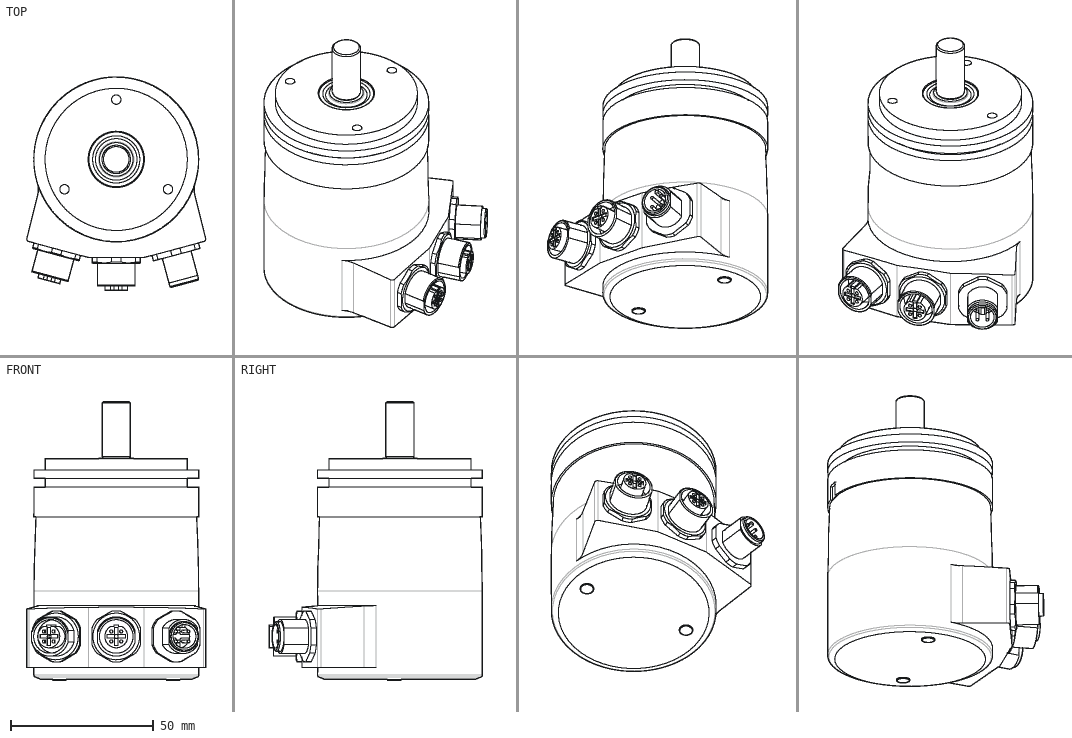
import cadquery as cq
import math

body_radius = 29.0
body_bottom = -77.6
foot_bottom = -78.0

shaft_radius = 5.0
shaft_top = 20.0
shaft_tip_chamfer = 0.5
shaft_root_radius = 4.7
shaft_root_top = 0.75
collar_top = 0.25
collar_top_radius = 5.9
collar_base_radius = 6.2
collar_base = -0.1
gutter_radius = 7.3
gutter_bottom = -0.8
seal_inner_radius = 8.3
seal_outer_radius = 9.6
seal_depth = 0.3
pilot_radius = 25.0
groove_top = -7.0
groove_bottom = -10.0
pilot_bottom = -4.0
joint_z = -20.5

screw_circle_radius = 21.0
screw_hole_diameter = 3.3
screw_hole_depth = 10.0
drill_point_angle = math.radians(118)
screw_angles = (90, 210, 330)

notch_angle = 97.0
notch_width = 5.0
notch_depth = 1.0
notch_top = -15.5

neck_top_radius = 28.3
neck_mid_radius = 28.8
neck_bottom = -46.5
base_cone_edge = -76.6
base_radius = 26.5
base_edge_fillet = 0.7

foot_diameter = 4.8
foot_chamfer = 0.2
foot_x = 20.0
foot_y = -2.0

face_tilt = math.radians(15)
middle_face_y = -34.5
middle_half_width = 9.8
side_face_width = 22.63
wall_tilt = math.radians(14)
corner_radius = 1.0
blend_radius = 8.0
block_bottom = -73.5
block_top_at_axis = -49.17
block_top_slope = math.radians(5)
block_reach = 50.0

connector_z = -62.5
nut_flats = 17.0
nut_diameter = 18.0
nut_height = 2.0
nut_chamfer_height = 0.4
nut_chamfer_inset = 0.8

female_diameter = 13.8
female_flats = 13.2
female_length = 10.0
female_bore_radius = 5.9
female_bore_chamfer = 0.35
female_bore_depth = 5.5
insert_radius = 4.0
insert_length = 11.5
insert_flat_height = 3.45
ridge_height = 4.05
ridge_width = 1.6
cross_width = 1.25
cross_length = 6.4
cross_depth = 0.5
contact_pitch = 3.5
contact_hole_diameter = 1.1
contact_hole_depth = 3.0
centre_hole_diameter = 1.4

male_diameter = 12.0
male_flats = 10.5
male_shank_length = 10.9
male_length = 12.6
male_tip_chamfer = 0.4
male_bore_radius = 4.15
male_bore_depth = 8.7
pin_diameter = 1.0
pin_setback = 1.1
floor_rib_height = 0.3
floor_hub_radius = 1.2
key_width = 1.1
key_height = 1.0


def make_flange():
    """Shaft, seal recess and stepped synchro flange as one turned body."""
    chamfered_tip_radius = shaft_radius - shaft_tip_chamfer
    flange = (
        cq.Workplane("XZ")
        .moveTo(0, shaft_top)
        .lineTo(chamfered_tip_radius, shaft_top)
        .lineTo(shaft_radius, shaft_top - shaft_tip_chamfer)
        .lineTo(shaft_radius, shaft_root_top)
        .lineTo(shaft_root_radius, collar_top)
        .lineTo(collar_top_radius, collar_top)
        .lineTo(collar_base_radius, collar_base)
        .lineTo(gutter_radius, gutter_bottom)
        .lineTo(seal_inner_radius, -seal_depth)
        .lineTo(seal_outer_radius, -seal_depth)
        .lineTo(seal_outer_radius + seal_depth, 0)
        .lineTo(pilot_radius, 0)
        .lineTo(pilot_radius, pilot_bottom)
        .lineTo(body_radius, pilot_bottom)
        .lineTo(body_radius, groove_top)
        .lineTo(pilot_radius, groove_top)
        .lineTo(pilot_radius, groove_bottom)
        .lineTo(body_radius, groove_bottom)
        .lineTo(body_radius, joint_z)
        .lineTo(0, joint_z)
        .close()
        .revolve(360, (0, 0, 0), (0, 1, 0))
    )
    hole_radius = screw_hole_diameter / 2
    drill_tip = -screw_hole_depth - hole_radius / math.tan(drill_point_angle / 2)
    drill = (
        cq.Workplane("XZ")
        .lineTo(hole_radius, 0)
        .lineTo(hole_radius, -screw_hole_depth)
        .lineTo(0, drill_tip)
        .close()
        .revolve(360, (0, 0, 0), (0, 1, 0))
        .translate((screw_circle_radius, 0, 0))
    )
    for angle in screw_angles:
        flange = flange.cut(drill.rotate((0, 0, 0), (0, 0, 1), angle))
    notch = (
        cq.Workplane("XY", origin=(0, 0, joint_z))
        .center(body_radius, 0)
        .rect(2 * notch_depth, notch_width)
        .extrude(notch_top - joint_z)
        .rotate((0, 0, 0), (0, 0, 1), notch_angle)
    )
    return flange.cut(notch)


def make_shell():
    """Cap with a slightly bulged neck and a shallow cone at the base."""
    shell = (
        cq.Workplane("XZ")
        .moveTo(0, joint_z)
        .lineTo(neck_top_radius, joint_z)
        .threePointArc((neck_mid_radius, (joint_z + neck_bottom) / 2), (body_radius, neck_bottom))
        .lineTo(body_radius, base_cone_edge)
        .lineTo(base_radius, body_bottom)
        .lineTo(0, body_bottom)
        .close()
        .revolve(360, (0, 0, 0), (0, 1, 0))
    )
    rim_edge = cq.selectors.NearestToPointSelector((-body_radius, 0, base_cone_edge))
    return shell.edges(rim_edge).fillet(base_edge_fillet)


def make_feet():
    """Two low round feet under the base."""
    return (
        cq.Workplane("XY", origin=(0, 0, body_bottom))
        .pushPoints([(-foot_x, foot_y), (foot_x, foot_y)])
        .circle(foot_diameter / 2)
        .extrude(foot_bottom - body_bottom)
        .faces("<Z")
        .chamfer(foot_chamfer)
    )


def make_block():
    """Three-faced connector block that blends into the round shell."""
    tilt_cos = math.cos(face_tilt)
    tilt_sin = math.sin(face_tilt)
    corner_x = middle_half_width + side_face_width * tilt_cos
    corner_y = middle_face_y + side_face_width * tilt_sin
    wall_cos = math.cos(wall_tilt)
    wall_sin = math.sin(wall_tilt)
    wall_distance = corner_x * wall_cos + corner_y * wall_sin
    centre_distance = wall_distance + blend_radius
    centre_along = math.sqrt((body_radius + blend_radius) ** 2 - centre_distance ** 2)
    centre_x = centre_distance * wall_cos + centre_along * wall_sin
    centre_y = centre_distance * wall_sin - centre_along * wall_cos

    def blend_point(angle):
        return centre_x + blend_radius * math.cos(angle), centre_y + blend_radius * math.sin(angle)

    wall_angle = math.pi + wall_tilt
    shell_angle = math.pi + math.atan2(centre_y, centre_x)
    wall_x, wall_y = blend_point(wall_angle)
    middle_x, middle_y = blend_point((wall_angle + shell_angle) / 2)
    shell_x, shell_y = blend_point(shell_angle)

    prism = (
        cq.Workplane("XY", origin=(0, 0, block_bottom))
        .moveTo(shell_x, shell_y)
        .threePointArc((middle_x, middle_y), (wall_x, wall_y))
        .lineTo(corner_x, corner_y)
        .lineTo(middle_half_width, middle_face_y)
        .lineTo(-middle_half_width, middle_face_y)
        .lineTo(-corner_x, corner_y)
        .lineTo(-wall_x, wall_y)
        .threePointArc((-middle_x, middle_y), (-shell_x, shell_y))
        .close()
        .extrude(block_top_at_axis - block_bottom)
        .edges("|Z and (<X or >X)")
        .fillet(corner_radius)
    )
    conical_envelope = (
        cq.Workplane("XZ")
        .moveTo(0, block_bottom)
        .lineTo(block_reach, block_bottom)
        .lineTo(block_reach, block_top_at_axis - block_reach * math.tan(block_top_slope))
        .lineTo(0, block_top_at_axis)
        .close()
        .revolve(360, (0, 0, 0), (0, 1, 0))
    )
    return prism.intersect(conical_envelope)


def outward(start=0.0):
    """Workplane of a connector that faces -Y, the given distance out from the block face."""
    return cq.Workplane("XZ", origin=(0, -start, 0))


def make_nut(chamfered):
    """Hexagon nut with turned corners and, if chamfered, a conical outer edge."""
    hexagon_corner_diameter = nut_flats / math.cos(math.radians(30))
    hexagon = outward().polygon(6, hexagon_corner_diameter).extrude(nut_height)
    hexagon = hexagon.rotate((0, 0, 0), (0, 1, 0), 30)
    round_envelope = outward().circle(nut_diameter / 2).extrude(nut_height)
    if chamfered:
        round_envelope = round_envelope.faces("<Y").chamfer(nut_chamfer_height, nut_chamfer_inset)
    return hexagon.intersect(round_envelope)


def flatted_barrel(diameter, flats, length):
    """Round barrel with a flat on its left and right sides."""
    barrel = outward().circle(diameter / 2).extrude(length)
    return barrel.intersect(outward().rect(flats, diameter).extrude(length))


def contacts(start, diameter, length):
    """Four round contacts on a square pitch."""
    return outward(start).rarray(contact_pitch, contact_pitch, 2, 2).circle(diameter / 2).extrude(length)


def make_insert(floor):
    """Keyed contact carrier with a crossed slot, four contact holes and a centre hole in its tip."""
    length = insert_length - floor
    carrier = outward(floor).circle(insert_radius).extrude(length)
    flat_envelope = (
        outward(floor)
        .center(0, insert_flat_height - insert_radius)
        .rect(2 * insert_radius, 2 * insert_radius)
        .extrude(length)
    )
    ridge = outward(floor).center(0, ridge_height / 2).rect(ridge_width, ridge_height).extrude(length)
    cross_floor = insert_length - cross_depth
    slot = outward(cross_floor).rect(cross_length, cross_width).extrude(cross_depth)
    upright_slot = outward(cross_floor).rect(cross_width, cross_length).extrude(cross_depth)
    hole_floor = insert_length - contact_hole_depth
    holes = contacts(hole_floor, contact_hole_diameter, contact_hole_depth)
    centre_hole = outward(hole_floor).circle(centre_hole_diameter / 2).extrude(contact_hole_depth)
    keyed_carrier = carrier.intersect(flat_envelope).union(ridge)
    return keyed_carrier.cut(slot).cut(upright_slot).cut(holes).cut(centre_hole)


def make_female_connector():
    """Socket with a flatted barrel around the contact carrier."""
    nut = make_nut(chamfered=True)
    floor = female_length - female_bore_depth
    barrel = flatted_barrel(female_diameter, female_flats, female_length).union(nut)
    bore = outward(floor).circle(female_bore_radius).extrude(female_bore_depth)
    barrel = barrel.cut(bore)
    mouth = cq.selectors.NearestToPointSelector((0, -female_length, female_bore_radius))
    barrel = barrel.edges(mouth).chamfer(female_bore_chamfer)
    return barrel.union(make_insert(floor))


def make_male_connector():
    """Plug with four pins, a key and a low cross on the floor of its bore."""
    floor = male_length - male_bore_depth
    shank = flatted_barrel(male_diameter, male_flats, male_shank_length)
    tip = outward().circle(male_flats / 2).extrude(male_length).faces("<Y").chamfer(male_tip_chamfer)
    bore = outward(floor).circle(male_bore_radius).extrude(male_bore_depth)
    pins = contacts(floor, pin_diameter, male_bore_depth - pin_setback)
    key = (
        outward(floor)
        .center(0, male_bore_radius - key_height / 2)
        .rect(key_width, key_height)
        .extrude(male_bore_depth - pin_setback)
    )
    rib_length = 2 * male_bore_radius
    rib = outward(floor).rect(rib_length, cross_width).extrude(floor_rib_height)
    upright_rib = outward(floor).rect(cross_width, rib_length).extrude(floor_rib_height)
    hub = outward(floor).circle(floor_hub_radius).extrude(floor_rib_height)
    body = shank.union(make_nut(chamfered=False)).union(tip).cut(bore)
    return body.union(pins).union(key).union(rib).union(upright_rib).union(hub)


def place_on_side(connector, side):
    """Seat a connector in the centre of the left (-1) or right (+1) tilted face."""
    x = middle_half_width + side_face_width / 2 * math.cos(face_tilt)
    y = middle_face_y + side_face_width / 2 * math.sin(face_tilt)
    turned = connector.rotate((0, 0, 0), (0, 0, 1), side * math.degrees(face_tilt))
    return turned.translate((side * x, y, connector_z))


def make_housing():
    """Shell, feet, connector block and its three connectors as one body."""
    housing = make_shell().union(make_feet()).union(make_block())
    female = make_female_connector()
    housing = housing.union(female.translate((0, middle_face_y, connector_z)))
    housing = housing.union(place_on_side(female, -1))
    return housing.union(place_on_side(make_male_connector(), 1))


flange_with_shaft = make_flange()
housing = make_housing()
result = cq.Compound.makeCompound([flange_with_shaft.solids().val(), housing.solids().val()])